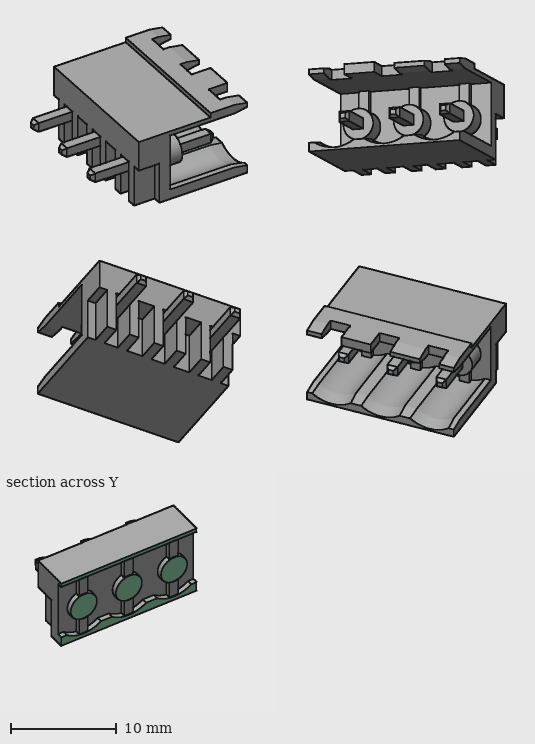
import cadquery as cq
import math


pin_count = 3
pitch = 5.08
pin_width = 1.04
pin_height = 1.0
pin_tip_width = 0.54
pin_tip_height = 0.5
pin_tip_length = 0.4
pin_front_y = -4.0
pin_back_y = 9.7
pin_z = 3.76

width = pin_count * pitch
depth = 12.1
body_top = 7.7
wall_thickness = 3.5
floor_thickness = 1.1
roof_underside = 7.22

lip_top = 8.2
lip_start_y = 8.0
lip_slot_width = 2.04
lip_slot_length = 2.1
square_tooth = 2

lead_length = 1.42
lead_angle = 10
lead_drop = lead_length * math.tan(math.radians(lead_angle))

boss_diameter = 3.0
boss_end_y = 5.5
rib_width = 1.0
rib_end_y = 4.0

trough_half_width = 1.92
trough_radius = math.hypot(trough_half_width, pin_z - floor_thickness)

notch_depth = 2.3
notch_top = 4.45
pin_gap = 1.44
leg_width = 0.98

pin_positions = [(i - (pin_count - 1) / 2) * pitch for i in range(pin_count)]


def block(x_min, x_max, y_min, y_max, z_min, z_max):
    size = (x_max - x_min, y_max - y_min, z_max - z_min)
    return cq.Workplane("XY").box(*size, centered=False).translate((x_min, y_min, z_min))


def side_prism(points, x_min, x_max):
    """Extrude a (Y, Z) outline from x_min to x_max."""
    return cq.Workplane("YZ").workplane(offset=x_min).polyline(points).close().extrude(x_max - x_min)


def section_at(y):
    """Work plane facing +Y at the given Y; local x runs along -X, local y along Z."""
    return cq.Workplane(cq.Plane(origin=(0, y, 0), xDir=(-1, 0, 0), normal=(0, 1, 0)))


def make_shell():
    """C-shaped side profile: front wall, sloped floor and roof with a raised lip."""
    profile = [
        (0, 0),
        (depth, 0),
        (depth, floor_thickness - lead_drop),
        (depth - lead_length, floor_thickness),
        (wall_thickness, floor_thickness),
        (wall_thickness, roof_underside),
        (depth, roof_underside),
        (depth, lip_top),
        (lip_start_y, lip_top),
        (lip_start_y, body_top),
        (0, body_top),
    ]
    return side_prism(profile, -width / 2, width / 2)


def cut_lip_slots(part):
    for x in pin_positions:
        half = lip_slot_width / 2
        part = part.cut(block(x - half, x + half, depth - lip_slot_length, depth, roof_underside, lip_top))
    return part


def slope_lip_teeth(part):
    """Taper the top and underside of every lip tooth except the square one."""
    lead_start = depth - lead_length
    top_wedge = [(lead_start, lip_top), (depth, lip_top), (depth, lip_top - lead_drop)]
    under_wedge = [(lead_start, roof_underside), (depth, roof_underside), (depth, roof_underside + lead_drop)]
    tooth_edges = [-width / 2] + pin_positions + [width / 2]
    for tooth in range(pin_count + 1):
        if tooth == square_tooth:
            continue
        for wedge in (top_wedge, under_wedge):
            part = part.cut(side_prism(wedge, tooth_edges[tooth], tooth_edges[tooth + 1]))
    return part


def cut_floor_troughs(part):
    """Round trough below each pin, flaring as a cone along the lead-in slope."""
    lead_start = depth - lead_length
    profile = [
        (0, wall_thickness),
        (trough_radius, wall_thickness),
        (trough_radius, lead_start),
        (trough_radius + lead_drop, depth),
        (0, depth),
    ]
    cutter = cq.Workplane("XY").polyline(profile).close().revolve(360, (0, 0), (0, 1))
    floor_zone = block(-width / 2, width / 2, 0, depth, 0, floor_thickness)
    for x in pin_positions:
        part = part.cut(cutter.translate((x, 0, pin_z)).intersect(floor_zone))
    return part


def cut_front_notches(part):
    """Open the lower front so that one leg stands on each side of every pin."""
    part = part.cut(block(-width / 2, width / 2, 0, notch_depth, 0, notch_top))
    for x in pin_positions:
        for leg_start in (x - pin_gap / 2 - leg_width, x + pin_gap / 2):
            part = part.union(block(leg_start, leg_start + leg_width, 0, notch_depth, 0, notch_top))
    return part


def make_pin(x):
    """Rectangular pin with a tapered tip at each end."""
    front_shoulder = pin_front_y + pin_tip_length
    back_shoulder = pin_back_y - pin_tip_length
    half_width = pin_width / 2
    bottom = pin_z - pin_height / 2
    pin = block(x - half_width, x + half_width, front_shoulder, back_shoulder, bottom, bottom + pin_height)
    for shoulder, tip_length in ((front_shoulder, -pin_tip_length), (back_shoulder, pin_tip_length)):
        tip = (
            section_at(shoulder)
            .center(-x, pin_z)
            .rect(pin_width, pin_height)
            .workplane(offset=tip_length)
            .rect(pin_tip_width, pin_tip_height)
            .loft()
        )
        pin = pin.union(tip)
    return pin


def add_contacts(part):
    """Boss, rib from floor to roof and pin at each position."""
    boss_length = boss_end_y - notch_depth
    for x in pin_positions:
        boss = section_at(notch_depth).center(-x, pin_z).circle(boss_diameter / 2).extrude(boss_length)
        rib = block(x - rib_width / 2, x + rib_width / 2, notch_depth, rib_end_y, 0, body_top)
        part = part.union(boss).union(rib).union(make_pin(x))
    return part


shell = make_shell()
shell = cut_lip_slots(shell)
shell = slope_lip_teeth(shell)
shell = cut_floor_troughs(shell)
shell = cut_front_notches(shell)
result = add_contacts(shell)